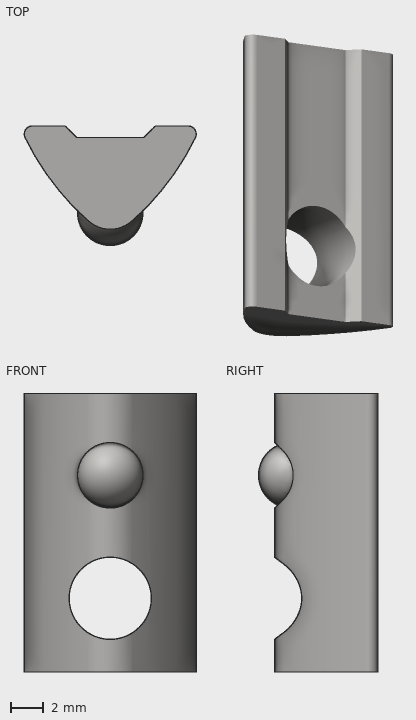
import cadquery as cq
import math

length = 17.0
half_width = 10.5 / 2
body_depth = 6.3
corner_radius = 0.5
nose_radius = 2.0
flank_radius = 16.0

channel_floor_width = 4.1
channel_depth = 0.7

cross_hole_diameter = 5.0
cross_hole_z = 4.5

ball_radius = 2.0
ball_projection = 1.0
ball_from_top = 5.0
ball_z = length - ball_from_top
ball_y = -(body_depth + ball_projection - ball_radius)


def point_toward(start, through, distance):
    """Point at the given distance from start, on the ray that passes through another point."""
    scale = distance / math.dist(start, through)
    return tuple(s + (t - s) * scale for s, t in zip(start, through))


def flank_center(corner, nose):
    """Center of the flank arc that wraps both the corner round and the nose round."""
    corner_distance = flank_radius - corner_radius
    nose_distance = flank_radius - nose_radius
    span = math.dist(corner, nose)
    along = (corner_distance**2 - nose_distance**2 + span**2) / (2 * span)
    aside = math.sqrt(corner_distance**2 - along**2)
    ux = (nose[0] - corner[0]) / span
    uy = (nose[1] - corner[1]) / span
    return (corner[0] + along * ux + aside * uy, corner[1] + along * uy - aside * ux)


def mirrored(point):
    return (-point[0], point[1])


def make_section():
    """Closed wedge outline; the right half is worked out and mirrored in X."""
    corner = (half_width - corner_radius, -corner_radius)
    nose = (0, -body_depth + nose_radius)
    flank = flank_center(corner, nose)

    corner_start = (corner[0], 0)
    corner_side = (half_width, corner[1])
    corner_end = point_toward(flank, corner, flank_radius)
    flank_end = point_toward(flank, nose, flank_radius)
    flank_chord_middle = tuple((a + b) / 2 for a, b in zip(corner_end, flank_end))
    flank_middle = point_toward(flank, flank_chord_middle, flank_radius)
    nose_tip = (0, -body_depth)

    return (
        cq.Workplane("XY")
        .moveTo(*corner_start)
        .threePointArc(corner_side, corner_end)
        .threePointArc(flank_middle, flank_end)
        .threePointArc(nose_tip, mirrored(flank_end))
        .threePointArc(mirrored(flank_middle), mirrored(corner_end))
        .threePointArc(mirrored(corner_side), mirrored(corner_start))
        .close()
    )


def make_channel():
    floor_half = channel_floor_width / 2
    mouth_half = floor_half + channel_depth
    outline = [
        (-mouth_half, 0),
        (-floor_half, -channel_depth),
        (floor_half, -channel_depth),
        (mouth_half, 0),
    ]
    return cq.Workplane("XY").polyline(outline).close().extrude(length)


def make_cross_hole():
    return (
        cq.Workplane("XZ")
        .center(0, cross_hole_z)
        .circle(cross_hole_diameter / 2)
        .extrude(body_depth)
    )


def make_ball():
    return cq.Workplane("XY").sphere(ball_radius).translate((0, ball_y, ball_z))


def make_ball_seat():
    """Blind bore from the nose that ends in a hemisphere matching the ball."""
    bore = (
        cq.Workplane("XZ", origin=(0, ball_y, ball_z))
        .circle(ball_radius)
        .extrude(ball_radius)
    )
    return bore.union(make_ball())


nut = (
    make_section()
    .extrude(length)
    .cut(make_channel())
    .cut(make_cross_hole())
    .cut(make_ball_seat())
)
ball = make_ball()

result = cq.Compound.makeCompound([*nut.solids().vals(), ball.val()])